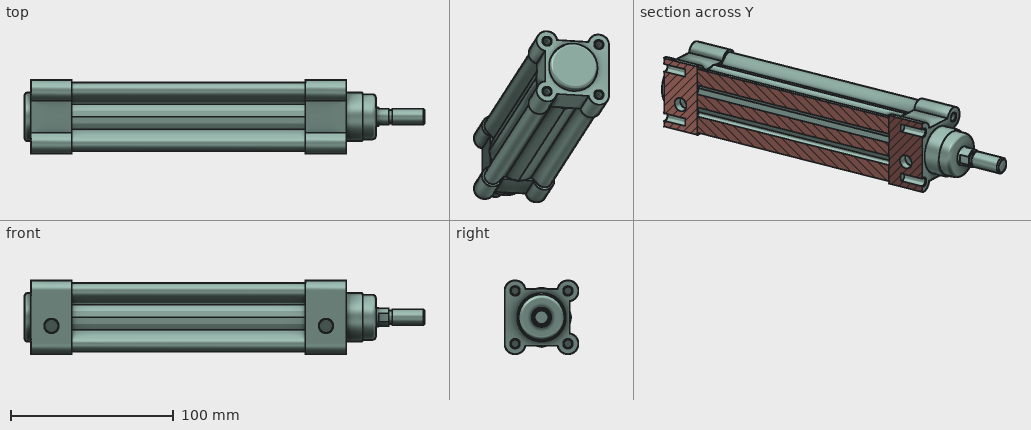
import cadquery as cq
import math

CAP_LENGTH = 25.2
CAPS_SPAN = 194.0
REAR_BOSS_LENGTH = 4.0
FRONT_BOSS_LENGTH = 10.0
FRONT_NOSE_LENGTH = 8.2
ROD_SHOULDER = 26.0
THREAD_LENGTH = 22.0
TUBE_START = CAP_LENGTH
TUBE_END = CAPS_SPAN - CAP_LENGTH

BOLT_SPACING = 32.5
BOLT_OFFSET = BOLT_SPACING / 2
CAP_SIZE = 45.5
CAP_HALF = CAP_SIZE / 2
CAP_LUG_RADIUS = CAP_HALF - BOLT_OFFSET
CAP_CORE_HALF = 17.5
BOLT_HOLE_DIAMETER = 5.0
BOLT_HOLE_MOUTH = 6.0
BOLT_HOLE_DEPTH = 16.0
PORT_DIAMETER = 8.4
PORT_MOUTH = 9.0
PORT_DEPTH = 11.0
PORT_Z = -5.3
BOSS_DIAMETER = 30.0
BOSS_FILLET = 2.0
BOSS_STEP_FILLET = 0.9
NOSE_FILLET = 2.5
NOSE_DIAMETER = 28.0

TUBE_LUG_RADIUS = 5.0
RIDGE_PEAK = 18.3
RIDGE_BEND_OFFSET = 4.0
RIDGE_BEND = 17.4
RIDGE_FOOT_OFFSET = 7.8
RIDGE_FOOT = 15.8
GROOVE_RADIUS = 1.9
FLANK_ANGLE = 45.0

ROD_DIAMETER = 12.0
NECK_DIAMETER = 11.3
NECK_TAPER_LENGTH = 1.6
FLATS_WIDTH = 10.0
UNDERCUT_DIAMETER = 8.5
UNDERCUT_LENGTH = 2.0
THREAD_DIAMETER = 10.0
THREAD_CHAMFER = 0.9

CORNERS = [(sy * BOLT_OFFSET, sz * BOLT_OFFSET) for sy in (-1, 1) for sz in (-1, 1)]


def plane_at(x):
    """YZ sketch plane at x: local x is Y, local y is Z, normal is +X."""
    return cq.Workplane("YZ", origin=(x, 0, 0))


def turned(points):
    """Solid of revolution about X from (x, radius) points, the first and last on the axis."""
    return cq.Workplane("XZ").polyline(points).close().revolve(360, (0, 0, 0), (1, 0, 0))


def cap_block(start):
    """Cap body: square core, four round lugs and a full flat side on -Y."""
    core = plane_at(start).rect(2 * CAP_CORE_HALF, 2 * CAP_CORE_HALF).extrude(CAP_LENGTH)
    lugs = plane_at(start).pushPoints(CORNERS).circle(CAP_LUG_RADIUS).extrude(CAP_LENGTH)
    flat_side = (
        plane_at(start)
        .center(-(BOLT_OFFSET + CAP_LUG_RADIUS / 2), 0)
        .rect(CAP_LUG_RADIUS, BOLT_SPACING)
        .extrude(CAP_LENGTH)
    )
    return core.union(lugs).union(flat_side)


def bolt_holes(face_x, inward):
    """Four blind corner holes with a chamfered mouth; inward is the X sense into the cap."""
    hole_radius = BOLT_HOLE_DIAMETER / 2
    mouth_radius = BOLT_HOLE_MOUTH / 2
    mouth_depth = mouth_radius - hole_radius
    tool = turned([
        (face_x, 0),
        (face_x, mouth_radius),
        (face_x + inward * mouth_depth, hole_radius),
        (face_x + inward * BOLT_HOLE_DEPTH, hole_radius),
        (face_x + inward * BOLT_HOLE_DEPTH, 0),
    ])
    tools = cq.Workplane()
    for y, z in CORNERS:
        tools = tools.add(tool.translate((0, y, z)))
    return tools.combine()


def air_port(start):
    """Blind port with a chamfered mouth in the flat -Y side, midway along the cap."""
    mouth_depth = (PORT_MOUTH - PORT_DIAMETER) / 2
    side = cq.Workplane("XZ", origin=(start + CAP_LENGTH / 2, -CAP_HALF, PORT_Z))
    bore = side.circle(PORT_DIAMETER / 2).extrude(-PORT_DEPTH)
    mouth = side.circle(PORT_MOUTH / 2).workplane(offset=-mouth_depth).circle(PORT_DIAMETER / 2).loft()
    return bore.union(mouth)


def make_rear_cap():
    boss = turned([
        (-REAR_BOSS_LENGTH, 0),
        (-REAR_BOSS_LENGTH, BOSS_DIAMETER / 2),
        (CAP_LENGTH / 2, BOSS_DIAMETER / 2),
        (CAP_LENGTH / 2, 0),
    ])
    boss = boss.faces("<X").edges().fillet(BOSS_FILLET)
    return cap_block(0).union(boss).cut(bolt_holes(0, 1)).cut(air_port(0))


def make_front_cap():
    step_end = CAPS_SPAN + FRONT_BOSS_LENGTH
    nose_end = step_end + FRONT_NOSE_LENGTH
    root = CAPS_SPAN - CAP_LENGTH / 2
    step = turned([(root, 0), (root, BOSS_DIAMETER / 2), (step_end, BOSS_DIAMETER / 2), (step_end, 0)])
    step = step.faces(">X").edges().fillet(BOSS_STEP_FILLET)
    nose = turned([(root, 0), (root, NOSE_DIAMETER / 2), (nose_end, NOSE_DIAMETER / 2), (nose_end, 0)])
    nose = nose.faces(">X").edges().fillet(NOSE_FILLET)
    rod_bore = plane_at(TUBE_END).circle(ROD_DIAMETER / 2).extrude(nose_end - TUBE_END)
    cap = cap_block(TUBE_END).union(step).union(nose).cut(rod_bore)
    return cap.cut(bolt_holes(CAPS_SPAN, -1)).cut(air_port(TUBE_END))


def make_tube():
    """Extruded profile with the same outline on all four sides.

    Each side has a shallow faceted ridge, and on both sides of it a rounded groove
    whose 45 degree flank runs up to the round corner lug.
    """
    diagonal = math.sin(math.radians(FLANK_ANGLE))
    flank_top = (BOLT_OFFSET - TUBE_LUG_RADIUS * diagonal, BOLT_OFFSET + TUBE_LUG_RADIUS * diagonal)
    arc_run = GROOVE_RADIUS * diagonal
    arc_rise = GROOVE_RADIUS * (1 - diagonal)
    flank_foot_level = RIDGE_FOOT + arc_rise
    flank_foot_offset = flank_top[0] - (flank_top[1] - flank_foot_level)
    groove_bottom = (flank_foot_offset - arc_run, RIDGE_FOOT)
    half_turn = math.radians(FLANK_ANGLE) / 2
    groove_middle = (
        groove_bottom[0] + GROOVE_RADIUS * math.sin(half_turn),
        RIDGE_FOOT + GROOVE_RADIUS * (1 - math.cos(half_turn)),
    )
    flank_foot = (flank_foot_offset, flank_foot_level)
    lug_tip = BOLT_OFFSET + TUBE_LUG_RADIUS * diagonal

    def place(point, side):
        """Turn a point of the +Z side by quarter turns, clockwise in the sketch."""
        along, out = point
        for _ in range(side):
            along, out = out, -along
        return along, out

    def mirrored(point):
        return -point[0], point[1]

    sketch = plane_at(TUBE_START).moveTo(*mirrored(flank_top))
    for side in range(4):
        sketch = (
            sketch
            .lineTo(*place(mirrored(flank_foot), side))
            .threePointArc(place(mirrored(groove_middle), side), place(mirrored(groove_bottom), side))
            .lineTo(*place((-RIDGE_FOOT_OFFSET, RIDGE_FOOT), side))
            .lineTo(*place((-RIDGE_BEND_OFFSET, RIDGE_BEND), side))
            .lineTo(*place((0, RIDGE_PEAK), side))
            .lineTo(*place((RIDGE_BEND_OFFSET, RIDGE_BEND), side))
            .lineTo(*place((RIDGE_FOOT_OFFSET, RIDGE_FOOT), side))
            .lineTo(*place(groove_bottom, side))
            .threePointArc(place(groove_middle, side), place(flank_foot, side))
            .lineTo(*place(flank_top, side))
            .threePointArc(place((lug_tip, lug_tip), side), place(mirrored(flank_top), side + 1))
        )
    return sketch.close().extrude(TUBE_END - TUBE_START)


def make_rod():
    radius = ROD_DIAMETER / 2
    thread_radius = THREAD_DIAMETER / 2
    nose_end = CAPS_SPAN + FRONT_BOSS_LENGTH + FRONT_NOSE_LENGTH
    neck_start = nose_end + NECK_TAPER_LENGTH
    shoulder = CAPS_SPAN + ROD_SHOULDER
    undercut_end = shoulder + UNDERCUT_LENGTH
    tip = shoulder + THREAD_LENGTH
    rod = turned([
        (TUBE_END, 0),
        (TUBE_END, radius),
        (nose_end, radius),
        (neck_start, NECK_DIAMETER / 2),
        (shoulder, NECK_DIAMETER / 2),
        (shoulder, UNDERCUT_DIAMETER / 2),
        (undercut_end, UNDERCUT_DIAMETER / 2),
        (undercut_end, thread_radius),
        (tip - THREAD_CHAMFER, thread_radius),
        (tip, thread_radius - THREAD_CHAMFER),
        (tip, 0),
    ])
    flat_depth = (ROD_DIAMETER - FLATS_WIDTH) / 2
    flats = (
        plane_at(neck_start)
        .pushPoints([(s * (FLATS_WIDTH + flat_depth) / 2, 0) for s in (-1, 1)])
        .rect(flat_depth, ROD_DIAMETER)
        .extrude(shoulder - neck_start)
    )
    return rod.cut(flats)


rear_cap = make_rear_cap()
tube = make_tube()
front_cap = make_front_cap()
rod = make_rod()

result = cq.Compound.makeCompound([rear_cap.val(), tube.val(), front_cap.val(), rod.val()])